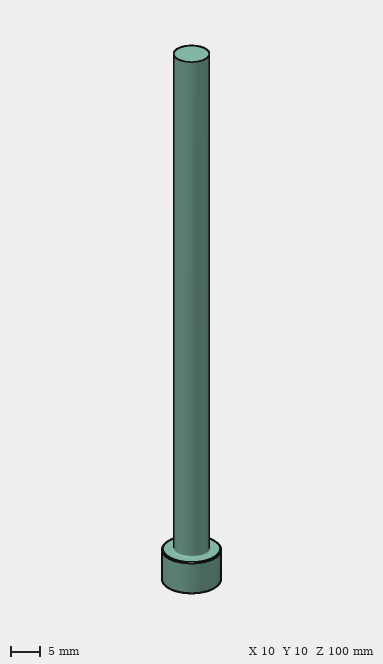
import cadquery as cq

total_length = 100.0
head_diameter = 10.0
head_height = 6.0
shank_diameter = 6.0
head_chamfer = 0.2
neck_fillet = 0.3

head = cq.Workplane("XY").circle(head_diameter / 2).extrude(head_height)
head = head.faces("<Z or >Z").edges().chamfer(head_chamfer)

shank = cq.Workplane("XY").circle(shank_diameter / 2).extrude(total_length)
head_top = cq.selectors.NearestToPointSelector((0, 0, head_height))
neck_edge = cq.selectors.RadiusNthSelector(0)
result = head.union(shank).faces(head_top).edges(neck_edge).fillet(neck_fillet)